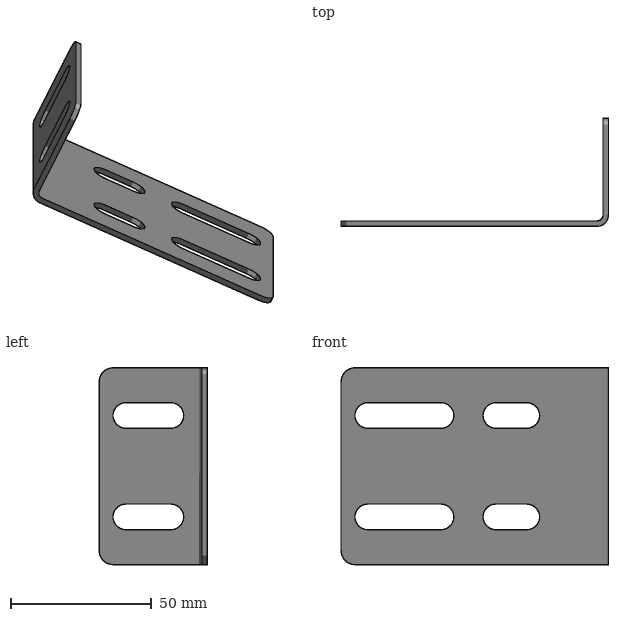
import cadquery as cq

base_length = 95.0
flange_length = 38.48
height = 70.0
thickness = 2.0
inner_bend_radius = 2.0
corner_radius = 5.0

slot_width = 9.0
slot_row_spacing = 36.0
long_slot_length = 35.0
long_slot_start = 5.0
short_slot_length = 20.0
short_slot_start = 50.5
flange_slot_length = 25.0
flange_slot_edge = 5.0

outer_bend_radius = inner_bend_radius + thickness
slot_rows = [(height - slot_row_spacing) / 2, (height + slot_row_spacing) / 2]


def bent_sheet():
    """L-shaped sheet: base plate along X, flange along Y, rounded at the bend."""
    base = cq.Workplane("XY").box(base_length, thickness, height, centered=False)
    flange = (
        cq.Workplane("XY")
        .box(thickness, flange_length, height, centered=False)
        .translate((base_length - thickness, 0, 0))
    )
    sheet = base.union(flange)
    inner_corner = cq.selectors.NearestToPointSelector((base_length - thickness, thickness, height / 2))
    outer_corner = cq.selectors.NearestToPointSelector((base_length, 0, height / 2))
    sheet = sheet.edges("|Z").edges(inner_corner).fillet(inner_bend_radius)
    return sheet.edges("|Z").edges(outer_corner).fillet(outer_bend_radius)


def round_free_corners(sheet):
    """Round the two corners at the free end of each leg."""
    sheet = sheet.faces("<X").edges("|Y").fillet(corner_radius)
    return sheet.faces(">Y").edges("|X").fillet(corner_radius)


def base_slot(start, length, row):
    """Cutter for a slot through the base plate, running along X."""
    return (
        cq.Workplane("XZ")
        .center(start + length / 2, row)
        .slot2D(length, slot_width)
        .extrude(-thickness)
    )


def flange_slot(row):
    """Cutter for a slot through the flange, running along Y."""
    middle = flange_length - flange_slot_edge - flange_slot_length / 2
    return (
        cq.Workplane("YZ", origin=(base_length - thickness, 0, 0))
        .center(middle, row)
        .slot2D(flange_slot_length, slot_width)
        .extrude(thickness)
    )


result = round_free_corners(bent_sheet())
for slot_row in slot_rows:
    result = result.cut(base_slot(long_slot_start, long_slot_length, slot_row))
    result = result.cut(base_slot(short_slot_start, short_slot_length, slot_row))
    result = result.cut(flange_slot(slot_row))